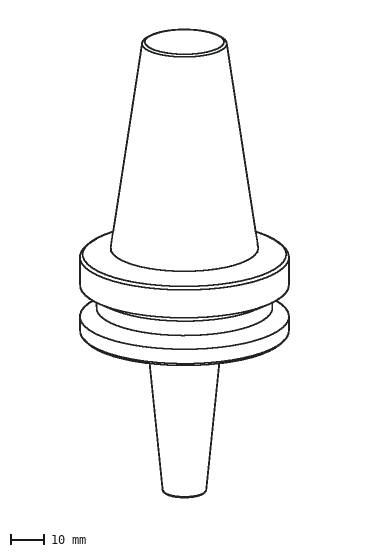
import cadquery as cq
import math

total_length = 142.4

tip_radius = 6.5
tip_chamfer = 0.4
nose_angle = math.radians(5.5)
nose_fillet_radius = 4.1

flange_radius = 31.5
flange_bottom = 50.0
flange_top = 75.0
flange_chamfer = 0.9

groove_floor_radius = 26.5
groove_center = 60.4
groove_mouth_width = 10.0
groove_wall_rise = 2.7
groove_floor_width = groove_mouth_width - 2 * groove_wall_rise

taper_base_radius = 22.2
taper_base = 77.0
taper_ratio = 7 / 24
collar_radius = 22.1
collar_chamfer_height = 0.5
collar_fillet_radius = 0.9
top_chamfer_radial = 0.9
top_chamfer_axial = 0.5


def taper_radius(z):
    return taper_base_radius - (z - taper_base) * taper_ratio / 2


def nose_radius(z):
    return tip_radius + z * math.tan(nose_angle)


fillet_center_z = flange_bottom - nose_fillet_radius
fillet_center_r = nose_radius(fillet_center_z) + nose_fillet_radius / math.cos(nose_angle)


def fillet_point(angle):
    return (
        fillet_center_r - nose_fillet_radius * math.cos(angle),
        fillet_center_z + nose_fillet_radius * math.sin(angle),
    )


fillet_start = -nose_angle
fillet_end = math.pi / 2
fillet_middle = (fillet_start + fillet_end) / 2

top_edge = total_length - top_chamfer_axial

profile = (
    cq.Workplane("XZ")
    .moveTo(0, 0)
    .lineTo(nose_radius(tip_chamfer) - tip_chamfer, 0)
    .lineTo(nose_radius(tip_chamfer), tip_chamfer)
    .lineTo(*fillet_point(fillet_start))
    .threePointArc(fillet_point(fillet_middle), fillet_point(fillet_end))
    .lineTo(flange_radius - flange_chamfer, flange_bottom)
    .lineTo(flange_radius, flange_bottom + flange_chamfer)
    .lineTo(flange_radius, groove_center - groove_mouth_width / 2)
    .lineTo(groove_floor_radius, groove_center - groove_floor_width / 2)
    .lineTo(groove_floor_radius, groove_center + groove_floor_width / 2)
    .lineTo(flange_radius, groove_center + groove_mouth_width / 2)
    .lineTo(flange_radius, flange_top - flange_chamfer)
    .lineTo(flange_radius - flange_chamfer, flange_top)
    .lineTo(collar_radius + collar_fillet_radius, flange_top)
    .radiusArc((collar_radius, flange_top + collar_fillet_radius), collar_fillet_radius)
    .lineTo(collar_radius, taper_base - collar_chamfer_height)
    .lineTo(taper_base_radius, taper_base)
    .lineTo(taper_radius(top_edge), top_edge)
    .lineTo(taper_radius(top_edge) - top_chamfer_radial, total_length)
    .lineTo(0, total_length)
    .close()
)

result = profile.revolve(360, (0, 0, 0), (0, 1, 0))